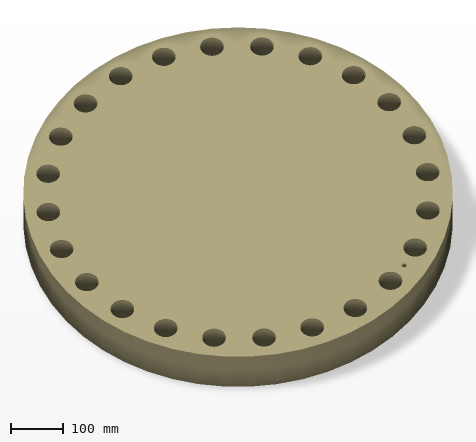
import cadquery as cq
import math

flange_diameter = 812.5
overall_height = 95.0
raised_face_height = 6.5
raised_face_diameter = 584.0
flange_thickness = overall_height - raised_face_height

bolt_count = 24
bolt_circle_diameter = 724.0
bolt_hole_diameter = 45.0

marker_rim_diameter = 12.0
marker_hole_diameter = 7.0
marker_hole_depth = 24.0
marker_angle = 360 / bolt_count / 2


def make_flange_body():
    """Disc standing on its raised face, whose underside lies at Z = 0."""
    raised_face = cq.Workplane("XY").circle(raised_face_diameter / 2).extrude(raised_face_height)
    disc = (
        cq.Workplane("XY")
        .workplane(offset=raised_face_height)
        .circle(flange_diameter / 2)
        .extrude(flange_thickness)
    )
    return disc.union(raised_face)


def make_bolt_holes():
    """Through holes, the first one on the +X axis."""
    return (
        cq.Workplane("XY")
        .polarArray(bolt_circle_diameter / 2, 0, 360, bolt_count)
        .circle(bolt_hole_diameter / 2)
        .extrude(overall_height)
    )


def make_marker_hole():
    """Blind hole on the bolt circle with a 45 degree countersink at the top face."""
    angle = math.radians(marker_angle)
    radius = bolt_circle_diameter / 2
    rim_radius = marker_rim_diameter / 2
    hole_radius = marker_hole_diameter / 2
    countersink_depth = rim_radius - hole_radius
    half_profile = [
        (0, 0),
        (rim_radius, 0),
        (hole_radius, -countersink_depth),
        (hole_radius, -marker_hole_depth),
        (0, -marker_hole_depth),
    ]
    hole = cq.Workplane("XZ").polyline(half_profile).close().revolve(360, (0, 0), (0, 1))
    return hole.translate((radius * math.cos(angle), radius * math.sin(angle), overall_height))


result = make_flange_body().cut(make_bolt_holes()).cut(make_marker_hole())